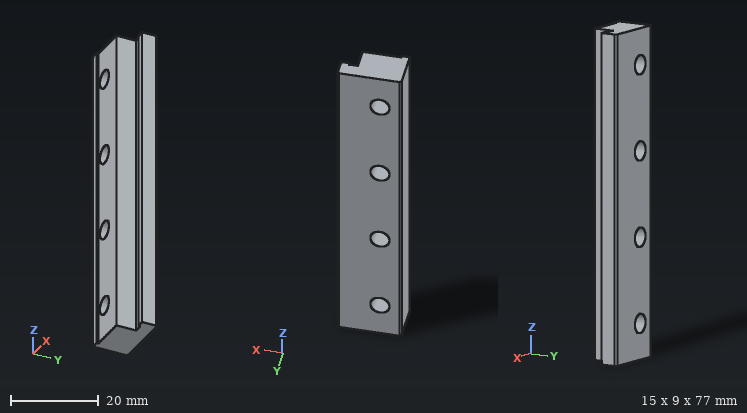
import cadquery as cq

width = 15.0
depth = 9.0
length = 77.0

pad_width = 2.0
pad_height = 0.5
body_width = 11.0
lip_width = 1.9
lip_front = 5.0
overhang_front = 5.5
back_chamfer = 0.5

hole_diameter = 4.5
hole_x = 5.0
hole_pitch = 20.0
hole_count = 4


def make_bar():
    """Extrude the hooked cross-section along Z and bevel its back edges."""
    profile = [
        (0, 0),
        (pad_width, 0),
        (pad_width, pad_height),
        (body_width, pad_height),
        (body_width, overhang_front),
        (width - lip_width, overhang_front),
        (width - lip_width, lip_front),
        (width, lip_front),
        (width, depth),
        (0, depth),
    ]
    bar = cq.Workplane("XY").polyline(profile).close().extrude(length)
    return bar.faces(">Y").edges("|Z").chamfer(back_chamfer)


def make_hole_cutters():
    """Cylinders along Y, evenly spaced about the middle of the length."""
    first_z = (length - (hole_count - 1) * hole_pitch) / 2
    centers = [(hole_x, first_z + i * hole_pitch) for i in range(hole_count)]
    return cq.Workplane("XZ").pushPoints(centers).circle(hole_diameter / 2).extrude(-depth)


result = make_bar().cut(make_hole_cutters())